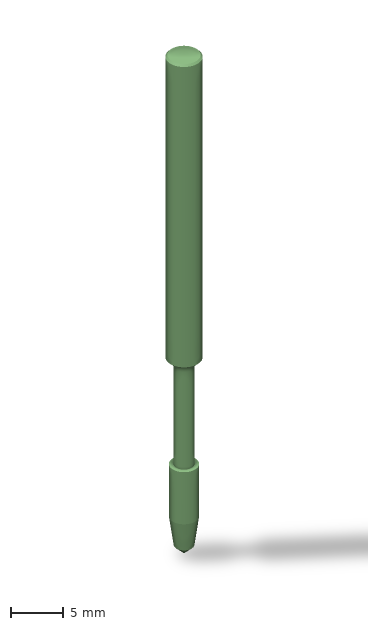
import cadquery as cq

total_length = 57.4

barrel_diameter = 3.58
barrel_length = 35.0
barrel_chamfer = 0.2

rod_diameter = 2.0
head_diameter = 2.9
head_length = 6.0
point_diameter = 2.0
taper_length = 3.3

point_top = point_diameter / 2
taper_top = point_top + taper_length
head_top = taper_top + head_length
barrel_bottom = total_length - barrel_length


def make_barrel():
    """Solid round barrel with both rims chamfered."""
    return (
        cq.Workplane("XY", origin=(0, 0, barrel_bottom))
        .circle(barrel_diameter / 2)
        .extrude(barrel_length)
        .faces("<Z or >Z")
        .chamfer(barrel_chamfer)
    )


def make_plunger():
    """Conical point, tapered nose, head and rod, turned about Z; the rod meets the barrel's lower face."""
    return (
        cq.Workplane("XZ")
        .moveTo(0, 0)
        .lineTo(point_diameter / 2, point_top)
        .lineTo(head_diameter / 2, taper_top)
        .lineTo(head_diameter / 2, head_top)
        .lineTo(rod_diameter / 2, head_top)
        .lineTo(rod_diameter / 2, barrel_bottom)
        .lineTo(0, barrel_bottom)
        .close()
        .revolve(360, (0, 0, 0), (0, 1, 0))
    )


barrel = make_barrel()
plunger = make_plunger()

result = cq.Compound.makeCompound([barrel.val(), plunger.val()])